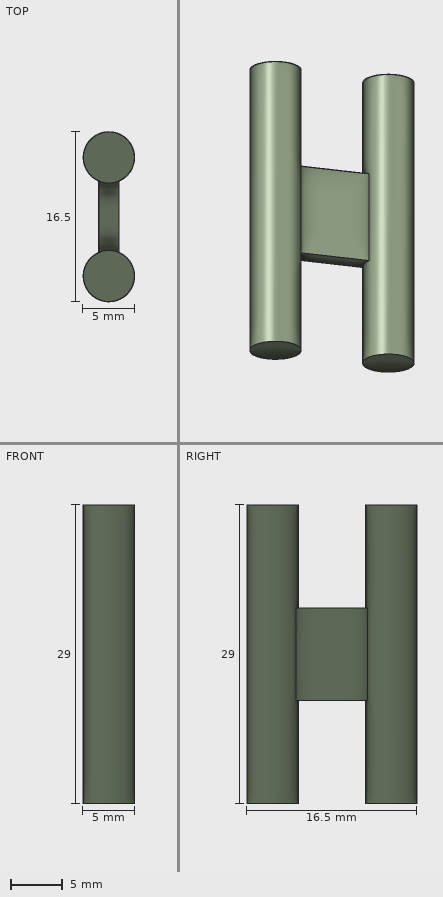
import cadquery as cq

pin_length = 29.0
pin_diameter = 5.0
overall_depth = 16.5
web_thickness = 2.0
web_height = 9.0

pin_spacing = overall_depth - pin_diameter


def pin(y):
    """Vertical round pin centred on the XY plane at the given Y."""
    return cq.Workplane("XY").cylinder(pin_length, pin_diameter / 2).translate((0, y, 0))


result = cq.Workplane("XY").box(web_thickness, pin_spacing, web_height)

for side in (-1, 1):
    result = result.union(pin(side * pin_spacing / 2))